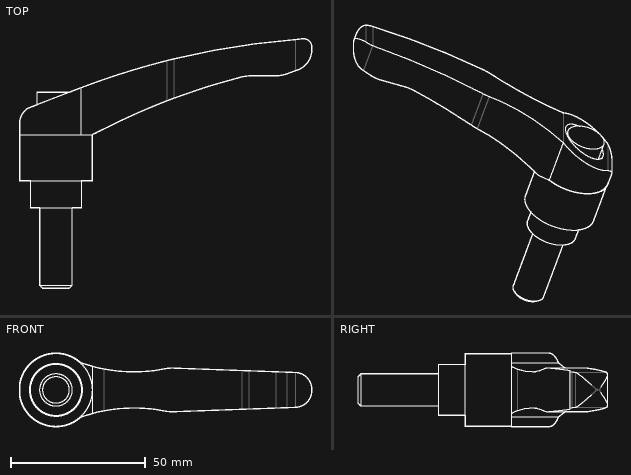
import cadquery as cq
import math

hub_diameter = 27.0
hub_length = 17.1
recess_diameter = 19.6
recess_depth = 1.1
neck_diameter = 19.0
neck_end = 27.1
pin_diameter = 12.0
pin_end = 57.0
pin_chamfer = 1.1

screw_diameter = 14.2
screw_top = 15.8
bore_diameter = 16.7
bore_floor = 5.4

head_diameter = 27.5
lever_left = -hub_diameter / 2
lever_right = lever_left + 108.5
lever_top = 35.7
head_edge_height = 4.6
neck_start_x = 9.3
neck_half_width = math.sqrt((head_diameter / 2) ** 2 - neck_start_x**2)
grip_end_x = 89.0
grip_end_half_width = 6.5
cut_height = 2 * lever_top


def shaft(diameter, start_y, end_y):
    """Cylinder about the Y axis between two Y positions, start_y below end_y."""
    return (
        cq.Workplane("XZ", origin=(0, end_y, 0))
        .circle(diameter / 2)
        .extrude(end_y - start_y)
    )


def lever_side_profile():
    """Curved lever in the XY plane, given the full width of the head along Z."""
    return (
        cq.Workplane("XY")
        .moveTo(lever_left, 0)
        .lineTo(lever_left, head_edge_height)
        .threePointArc((-12.6, 7.6), (-10.4, 9.9))
        .lineTo(9.2, 17.5)
        .threePointArc((41.2, 27.6), (grip_end_x, 35.4))
        .lineTo(91.8, lever_top)
        .threePointArc((94.2, 34.6), (lever_right, 32.0))
        .threePointArc((93.3, 26.7), (grip_end_x, 23.8))
        .lineTo(85.7, 22.6)
        .threePointArc((83.8, 22.0), (81.6, 21.8))
        .lineTo(71.6, 21.8)
        .lineTo(69.1, 21.5)
        .threePointArc((43.8, 13.6), (17.9, 2.2))
        .lineTo(hub_diameter / 2, 0)
        .close()
        .extrude(head_diameter / 2, both=True)
    )


def lever_width_profile():
    """Waisted grip in the XZ plane with a round end, merged with the round head."""
    grip = (
        cq.Workplane("XZ", origin=(0, cut_height, 0))
        .moveTo(0, neck_half_width)
        .lineTo(neck_start_x, neck_half_width)
        .threePointArc((26.6, 6.7), (41.2, 8.0))
        .threePointArc((42.5, 8.1), (43.8, 8.1))
        .lineTo(grip_end_x, grip_end_half_width)
        .threePointArc((93.3, 4.5), (lever_right, 0))
        .lineTo(0, 0)
        .close()
        .extrude(cut_height)
    )
    head = shaft(head_diameter, 0, cut_height)
    return head.union(grip).union(grip.mirror("XY"))


lever = lever_side_profile().intersect(lever_width_profile())
lever = lever.cut(shaft(bore_diameter, bore_floor, cut_height))

hub = shaft(hub_diameter, -hub_length, 0)
hub = hub.cut(shaft(recess_diameter, -hub_length, recess_depth - hub_length))
neck = shaft(neck_diameter, -neck_end, 0)
pin = shaft(pin_diameter, -pin_end, 0).faces("<Y").chamfer(pin_chamfer)
screw_head = shaft(screw_diameter, 0, screw_top)

result = lever.union(hub).union(neck).union(pin).union(screw_head)